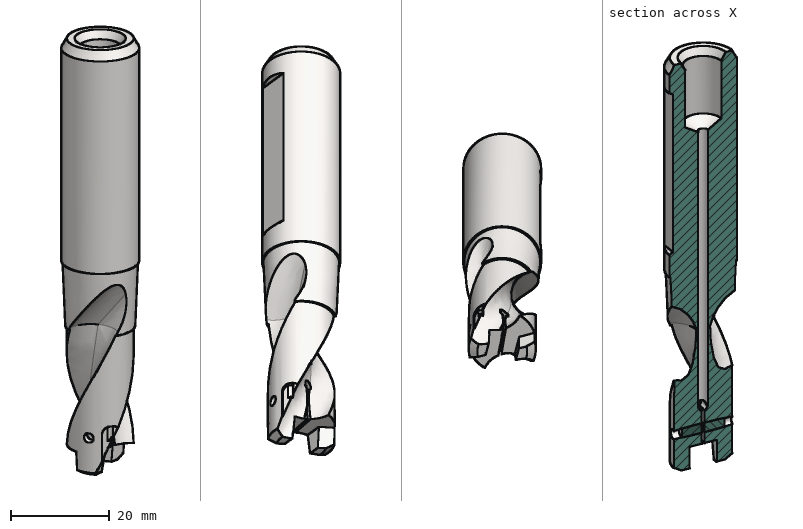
import cadquery as cq
import math

LENGTH = 92.6
SHANK_START = 44.55
NECK_START = 30.6
SLOT_FLOOR = 4.9

SHANK_DIAMETER = 15.8
SHANK_RADIUS = SHANK_DIAMETER / 2
SHANK_CHAMFER_RADIUS = 6.8
SHANK_CHAMFER_HEIGHT = 2.0
NECK_TOP_RADIUS = 7.7
NECK_BOTTOM_RADIUS = 7.1
TIP_DIAMETER = 13.6
TIP_RADIUS = TIP_DIAMETER / 2
TIP_CHAMFER_WIDTH = 1.8
TIP_CHAMFER_HEIGHT = 1.0

FLAT_DEPTH = 0.8
FLAT_BOTTOM = 50.2
FLAT_TOP = 85.95
FLAT_END_BEVEL = 0.5

SOCKET_MOUTH_RADIUS = 5.2
SOCKET_RADIUS = 4.2
SOCKET_MOUTH_DEPTH = 1.8
SOCKET_DEPTH = 14.8
DRILL_POINT_ANGLE = 118.0
COOLANT_RADIUS = 1.1

FLUTE_RADIUS = 5.5
FLUTE_END = 31.3
FLUTE_BELOW_TIP = 1.85
FLUTE_TURN_RATE = 4.319
FLUTE_CENTER_AT_END = 7.1
FLUTE_CENTER_AT_TIP = 8.3
FLUTE_SECTIONS = 10
RUNOUT_SIDE_SLOPE = 0.8
RUNOUT_OUTWARD_SLOPE = 0.27
RUNOUT_HEIGHT = 14.8

SLOT_WIDTH = 6.2
SLOT_HALF_WIDTH = SLOT_WIDTH / 2
LUG_INNER_X = -1.5
LUG_OUTER_X = -3.15
LUG_OUTER_Y = -6.0
LUG_LEAN = 0.4
CUT_MARGIN = 2.8

HEAD_ANGLE = -4.6
SLIT_WIDTH = 0.6
RELIEF_HEIGHT = 13.3
RELIEF_RADIUS = 0.9
PIN_HEIGHT = 8.5
PIN_RADIUS = 1.0
PIN_RECESS = 1.85

LAND_FLAT_ANGLE = 30.0
LAND_FLAT_DISTANCE = 6.5
LAND_FLAT_START_X = 2.1
LAND_FLAT_WIDTH = 3.3
LAND_FLAT_TOP = 11.0
GROOVE_RADIUS = 0.6
GROOVE_X = 3.6
GROOVE_Y = -5.4
GROOVE_BOTTOM = 7.9

Z_AXIS = cq.Vector(0, 0, 1)


def half_turn_pair(shape):
    """The shape and its copy half a turn around the drill axis."""
    return [shape.rotate((0, 0, 0), (0, 0, 1), turn * 180) for turn in range(2)]


def cut_pair(body, tool):
    for copy in half_turn_pair(tool):
        body = body.cut(copy)
    return body


def turned_blank():
    profile = [
        (0, 0),
        (TIP_RADIUS - TIP_CHAMFER_WIDTH, 0),
        (TIP_RADIUS, TIP_CHAMFER_HEIGHT),
        (TIP_RADIUS, NECK_START),
        (NECK_BOTTOM_RADIUS, NECK_START),
        (NECK_TOP_RADIUS, SHANK_START),
        (SHANK_RADIUS, SHANK_START),
        (SHANK_RADIUS, LENGTH - SHANK_CHAMFER_HEIGHT),
        (SHANK_CHAMFER_RADIUS, LENGTH),
        (0, LENGTH),
    ]
    return cq.Workplane("XZ").polyline(profile).close().revolve(360, (0, 0, 0), (0, 1, 0))


def socket_and_coolant():
    cone_bottom = LENGTH - SOCKET_DEPTH - SOCKET_RADIUS / math.tan(math.radians(DRILL_POINT_ANGLE / 2))
    profile = [
        (0, cone_bottom),
        (SOCKET_RADIUS, LENGTH - SOCKET_DEPTH),
        (SOCKET_RADIUS, LENGTH - SOCKET_MOUTH_DEPTH),
        (SOCKET_MOUTH_RADIUS, LENGTH),
        (0, LENGTH),
    ]
    socket = cq.Workplane("XZ").polyline(profile).close().revolve(360, (0, 0, 0), (0, 1, 0))
    channel_height = LENGTH - SOCKET_DEPTH - RELIEF_HEIGHT
    channel = (
        cq.Workplane("XY", origin=(0, 0, RELIEF_HEIGHT))
        .circle(COOLANT_RADIUS)
        .extrude(channel_height)
    )
    return socket.union(channel)


def shank_flat():
    floor = SHANK_RADIUS - FLAT_DEPTH
    outside = floor + CUT_MARGIN
    bevel = FLAT_END_BEVEL * CUT_MARGIN / FLAT_DEPTH
    profile = [
        (floor, FLAT_BOTTOM),
        (outside, FLAT_BOTTOM - bevel),
        (outside, FLAT_TOP + bevel),
        (floor, FLAT_TOP),
    ]
    return cq.Workplane("YZ").polyline(profile).close().extrude(SHANK_RADIUS, both=True)


def flute_section(height):
    """Horizontal round-bottomed section of the helical flute, further out toward the tip."""
    angle = math.radians(FLUTE_TURN_RATE * (height - FLUTE_END))
    closeness = 1 - height / FLUTE_END
    distance = FLUTE_CENTER_AT_END + (FLUTE_CENTER_AT_TIP - FLUTE_CENTER_AT_END) * closeness
    outward = cq.Vector(math.sin(angle), -math.cos(angle), 0)
    plane = cq.Plane(origin=outward * distance + Z_AXIS * height, xDir=-outward, normal=Z_AXIS)
    diagonal = FLUTE_RADIUS * math.sqrt(0.5)
    return (
        cq.Workplane(plane)
        .moveTo(-CUT_MARGIN, -FLUTE_RADIUS)
        .lineTo(0, -FLUTE_RADIUS)
        .threePointArc((diagonal, -diagonal), (FLUTE_RADIUS, 0))
        .threePointArc((diagonal, diagonal), (0, FLUTE_RADIUS))
        .lineTo(-CUT_MARGIN, FLUTE_RADIUS)
        .close()
        .val()
    )


def flute_tools():
    """Cutters for the helical stretch of a flute and for its straight run-out to the surface."""
    step = (FLUTE_END + FLUTE_BELOW_TIP) / FLUTE_SECTIONS
    sections = [flute_section(i * step - FLUTE_BELOW_TIP) for i in range(FLUTE_SECTIONS + 1)]
    helix = cq.Solid.makeLoft(sections)
    travel = cq.Vector(RUNOUT_SIDE_SLOPE, -RUNOUT_OUTWARD_SLOPE, 1) * RUNOUT_HEIGHT
    runout = cq.Solid.extrudeLinear(sections[-1], [], travel)
    return [cq.Workplane(obj=helix), cq.Workplane(obj=runout)]


def seat_slot():
    length = 2 * (TIP_RADIUS + CUT_MARGIN)
    return cq.Workplane("XY").rect(length, SLOT_WIDTH).extrude(SLOT_FLOOR)


def lug_clearance():
    """Space ahead of a lug, bounded by the driving face."""
    outside = TIP_RADIUS + CUT_MARGIN
    x_per_y = (LUG_OUTER_X - LUG_INNER_X) / (LUG_OUTER_Y + SLOT_HALF_WIDTH)
    far_x = LUG_INNER_X + x_per_y * (SLOT_HALF_WIDTH - outside)
    outline = [
        cq.Vector(LUG_INNER_X, -SLOT_HALF_WIDTH, 0),
        cq.Vector(far_x, -outside, 0),
        cq.Vector(-outside, -outside, 0),
        cq.Vector(-outside, -SLOT_HALF_WIDTH, 0),
    ]
    wire = cq.Wire.makePolygon(outline, close=True)
    clearance = cq.Solid.extrudeLinear(wire, [], cq.Vector(-LUG_LEAN, 0, SLOT_FLOOR))
    return cq.Workplane(obj=clearance)


def clamping_slit():
    height = RELIEF_HEIGHT - SLOT_FLOOR
    slit = (
        cq.Workplane("XY", origin=(0, 0, SLOT_FLOOR))
        .rect(2 * TIP_RADIUS, SLIT_WIDTH)
        .extrude(height)
    )
    relief = (
        cq.Workplane("YZ", origin=(0, 0, RELIEF_HEIGHT))
        .circle(RELIEF_RADIUS)
        .extrude(TIP_RADIUS, both=True)
    )
    return slit.union(relief).rotate((0, 0, 0), (0, 0, 1), HEAD_ANGLE)


def pin_cylinder(outer_distance):
    """Cylinder from the slit face outward, on the -Y side."""
    start = SLIT_WIDTH / 2
    cylinder = (
        cq.Workplane("XZ", origin=(0, -start, PIN_HEIGHT))
        .circle(PIN_RADIUS)
        .extrude(outer_distance - start)
    )
    return cylinder.rotate((0, 0, 0), (0, 0, 1), HEAD_ANGLE)


def land_flat():
    """Round-topped flat cut on the -Y land."""
    radius = LAND_FLAT_WIDTH / 2
    center_x = LAND_FLAT_START_X + radius
    shoulder = LAND_FLAT_TOP - radius
    window = (
        cq.Workplane("XZ")
        .moveTo(LAND_FLAT_START_X, 0)
        .lineTo(LAND_FLAT_START_X, shoulder)
        .threePointArc((center_x, LAND_FLAT_TOP), (center_x + radius, shoulder))
        .lineTo(center_x + radius, 0)
        .close()
        .extrude(TIP_RADIUS)
    )
    outside = (
        cq.Workplane("XZ", origin=(0, -LAND_FLAT_DISTANCE, 0))
        .rect(2 * TIP_RADIUS, 2 * LAND_FLAT_TOP)
        .extrude(CUT_MARGIN)
        .rotate((0, 0, 0), (0, 0, 1), LAND_FLAT_ANGLE)
    )
    return window.intersect(outside)


def coolant_groove():
    height = LAND_FLAT_TOP - GROOVE_BOTTOM
    return (
        cq.Workplane("XY", origin=(GROOVE_X, GROOVE_Y, GROOVE_BOTTOM))
        .circle(GROOVE_RADIUS)
        .extrude(height)
    )


def drill_body():
    body = turned_blank().cut(socket_and_coolant()).cut(shank_flat())
    for tool in flute_tools():
        body = cut_pair(body, tool)
    body = body.cut(seat_slot())
    body = cut_pair(body, lug_clearance())
    body = cut_pair(body, land_flat())
    body = cut_pair(body, coolant_groove())
    body = body.cut(clamping_slit())
    return cut_pair(body, pin_cylinder(TIP_RADIUS + CUT_MARGIN))


drill = drill_body()
pins = half_turn_pair(pin_cylinder(TIP_RADIUS - PIN_RECESS))

result = cq.Compound.makeCompound([drill.val(), *[pin.val() for pin in pins]])